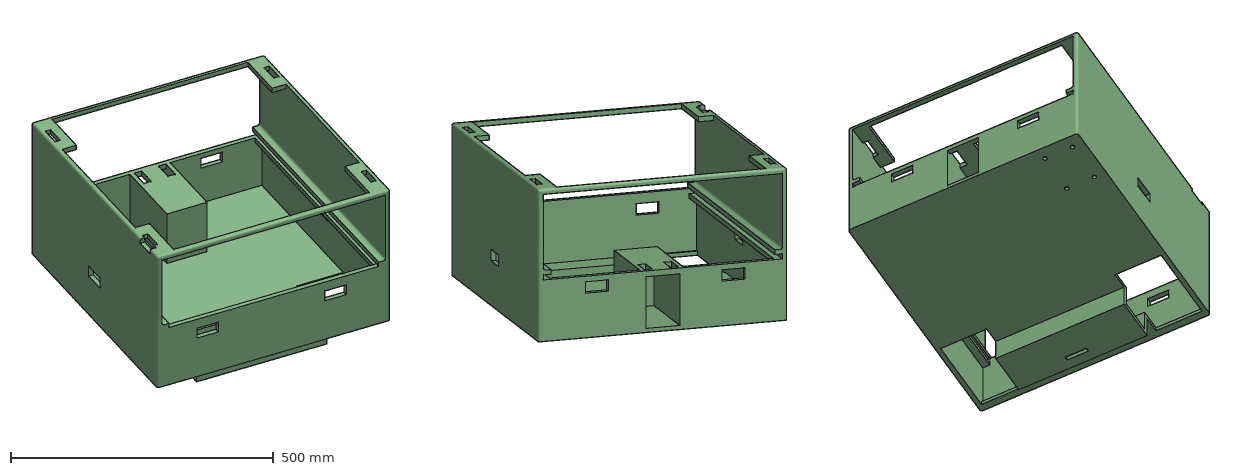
import cadquery as cq

LENGTH = 520.0
WIDTH = 500.0
HEIGHT = 300.0
WALL = 10.0
FLOOR = 8.5
EDGE_RADIUS = 5.05
INNER_X = LENGTH / 2 - WALL
INNER_Y = WIDTH / 2 - WALL

GROOVE_BOTTOM = 121.5
GROOVE_HEIGHT = 10.0
GROOVE_TOP = GROOVE_BOTTOM + GROOVE_HEIGHT
RAIL_HEIGHT = 9.5
RAIL_DEPTH = 15.0
COVE_RADIUS = EDGE_RADIUS

TAB_LENGTH = 100.0
TAB_DEPTH = 30.0
RIM_HEIGHT = 10.0
SLOT_LENGTH = 40.0
SLOT_WIDTH = 11.0
SLOT_X = 200.0

NOTCH_X = 209.0
NOTCH_DEPTH = 13.5
NOTCH_HEIGHT = RIM_HEIGHT

WINDOW_LENGTH = 46.0
WINDOW_HEIGHT = 22.5
WINDOW_BOTTOM = 88.5
END_WINDOW_YS = (132.5, -142.0)

CUTOUT_X_MIN = 85.0
CUTOUT_X_MAX = 245.0
CHANNEL_X_MIN = 120.0
CHANNEL_X_MAX = 210.0
CHANNEL_HALF_LENGTH = 140.0
CHANNEL_DEPTH = 50.0
CHANNEL_WALL = 10.0
CHANNEL_SLOT_X = 185.5
CHANNEL_SLOT_WIDTH = 8.5

TUNNEL_HALF_WIDTH = 34.0
TUNNEL_TOP = 110.0
TUNNEL_WALL = 9.5
TUNNEL_ROOF = GROOVE_BOTTOM - TUNNEL_TOP
TUNNEL_X_MAX = -98.0
ROOF_SLOT_LENGTH = 39.5
ROOF_SLOT_WIDTH = 15.5

HOLE_DIAMETER = 8.5
HOLE_XS = (-234.5, -148.5)
HOLE_YS = (-165.0, -224.5)


def block(x_min, x_max, y_min, y_max, z_min, z_max):
    """Axis-aligned block between two opposite corners."""
    size = (x_max - x_min, y_max - y_min, z_max - z_min)
    return cq.Workplane("XY").box(*size, centered=False).translate((x_min, y_min, z_min))


def shell():
    """Box with rounded upright and rim edges, hollowed down to the floor."""
    outer = (
        cq.Workplane("XY")
        .box(LENGTH, WIDTH, HEIGHT, centered=(True, True, False))
        .edges("|Z or >Z")
        .fillet(EDGE_RADIUS)
    )
    return outer.cut(block(-INNER_X, INNER_X, -INNER_Y, INNER_Y, FLOOR, HEIGHT))


def end_openings():
    """Openings above the two end walls; the -X one reaches down to the groove."""
    opening_top = HEIGHT - RIM_HEIGHT
    low = block(-LENGTH / 2, -INNER_X, -INNER_Y, INNER_Y, GROOVE_BOTTOM, opening_top)
    high = block(INNER_X, LENGTH / 2, -INNER_Y, INNER_Y, GROOVE_TOP, opening_top)
    return low.union(high)


def rails():
    """Upper rail with a cove against the wall, and a plain lower rail, on the +Y wall."""
    upper_top = GROOVE_TOP + RAIL_HEIGHT
    inner_edge = INNER_Y - RAIL_DEPTH
    upper = (
        cq.Workplane("YZ", origin=(-LENGTH / 2, 0, 0))
        .moveTo(WIDTH / 2 - EDGE_RADIUS, GROOVE_TOP)
        .lineTo(inner_edge, GROOVE_TOP)
        .lineTo(inner_edge, upper_top)
        .lineTo(INNER_Y - COVE_RADIUS, upper_top)
        .radiusArc((INNER_Y, upper_top + COVE_RADIUS), -COVE_RADIUS)
        .lineTo(WIDTH / 2 - EDGE_RADIUS, upper_top + COVE_RADIUS)
        .close()
        .extrude(LENGTH)
    )
    lower = block(-INNER_X, INNER_X, inner_edge, INNER_Y, GROOVE_BOTTOM - RAIL_HEIGHT, GROOVE_BOTTOM)
    return upper.union(lower)


def corner_tab():
    """Slotted tab at the (+X, +Y) corner of the rim."""
    bottom = HEIGHT - RIM_HEIGHT
    tab = block(INNER_X - TAB_LENGTH, INNER_X, INNER_Y - TAB_DEPTH, INNER_Y, bottom, HEIGHT)
    slot = block(
        SLOT_X - SLOT_LENGTH / 2, SLOT_X + SLOT_LENGTH / 2, INNER_Y - SLOT_WIDTH, INNER_Y, bottom, HEIGHT
    )
    return tab.cut(slot)


def tab_notch():
    """Notch through the outer edge of the (+X, -Y) corner."""
    return block(
        NOTCH_X - SLOT_LENGTH / 2,
        NOTCH_X + SLOT_LENGTH / 2,
        -WIDTH / 2,
        -WIDTH / 2 + NOTCH_DEPTH,
        HEIGHT - NOTCH_HEIGHT,
        HEIGHT,
    )


def windows():
    """One window through both long walls and two through both end walls."""
    half = WINDOW_LENGTH / 2
    top = WINDOW_BOTTOM + WINDOW_HEIGHT
    cuts = block(-half, half, -WIDTH / 2, WIDTH / 2, WINDOW_BOTTOM, top)
    for y in END_WINDOW_YS:
        cuts = cuts.union(block(-LENGTH / 2, LENGTH / 2, y - half, y + half, WINDOW_BOTTOM, top))
    return cuts


def floor_cutouts():
    """Two rectangular cut-outs in the floor, one beyond each channel end."""
    cutout = block(CUTOUT_X_MIN, CUTOUT_X_MAX, CHANNEL_HALF_LENGTH, INNER_Y, 0, FLOOR)
    return cutout.union(cutout.mirror("XZ"))


def channel():
    """Outer block of the channel below the floor."""
    return block(
        CHANNEL_X_MIN, CHANNEL_X_MAX, -CHANNEL_HALF_LENGTH, CHANNEL_HALF_LENGTH, -CHANNEL_DEPTH, 0
    )


def channel_cuts():
    """Channel interior, open up through the floor, and the slot in its bottom."""
    interior = block(
        CHANNEL_X_MIN + CHANNEL_WALL,
        CHANNEL_X_MAX - CHANNEL_WALL,
        -CHANNEL_HALF_LENGTH,
        CHANNEL_HALF_LENGTH,
        CHANNEL_WALL - CHANNEL_DEPTH,
        FLOOR,
    )
    slot = block(
        CHANNEL_SLOT_X - CHANNEL_SLOT_WIDTH / 2,
        CHANNEL_SLOT_X + CHANNEL_SLOT_WIDTH / 2,
        -WINDOW_LENGTH / 2,
        WINDOW_LENGTH / 2,
        -CHANNEL_DEPTH,
        FLOOR,
    )
    return interior.union(slot)


def tunnel():
    """Outer block of the tunnel standing on the floor."""
    half = TUNNEL_HALF_WIDTH + TUNNEL_WALL
    return block(-INNER_X, TUNNEL_X_MAX, -half, half, FLOOR, TUNNEL_TOP + TUNNEL_ROOF)


def tunnel_cuts():
    """Tunnel interior, open at the -X wall, and two roof slots along its sides."""
    cuts = block(
        -LENGTH / 2,
        TUNNEL_X_MAX - TUNNEL_WALL,
        -TUNNEL_HALF_WIDTH,
        TUNNEL_HALF_WIDTH,
        FLOOR,
        TUNNEL_TOP,
    )
    for y_min in (-TUNNEL_HALF_WIDTH, TUNNEL_HALF_WIDTH - ROOF_SLOT_WIDTH):
        slot = block(
            -INNER_X,
            ROOF_SLOT_LENGTH - INNER_X,
            y_min,
            y_min + ROOF_SLOT_WIDTH,
            TUNNEL_TOP,
            TUNNEL_TOP + TUNNEL_ROOF,
        )
        cuts = cuts.union(slot)
    return cuts


def mounting_holes():
    """Rectangle of four holes through the floor."""
    centres = [(x, y) for x in HOLE_XS for y in HOLE_YS]
    return cq.Workplane("XY").pushPoints(centres).circle(HOLE_DIAMETER / 2).extrude(FLOOR)


body = shell().cut(end_openings())

wall_rails = rails()
tab = corner_tab()
tab_pair = tab.union(tab.mirror("YZ"))
for feature in (wall_rails, tab_pair):
    body = body.union(feature).union(feature.mirror("XZ"))

body = body.union(channel()).union(tunnel())

for cut in (tab_notch(), windows(), floor_cutouts(), channel_cuts(), tunnel_cuts(), mounting_holes()):
    body = body.cut(cut)

result = body